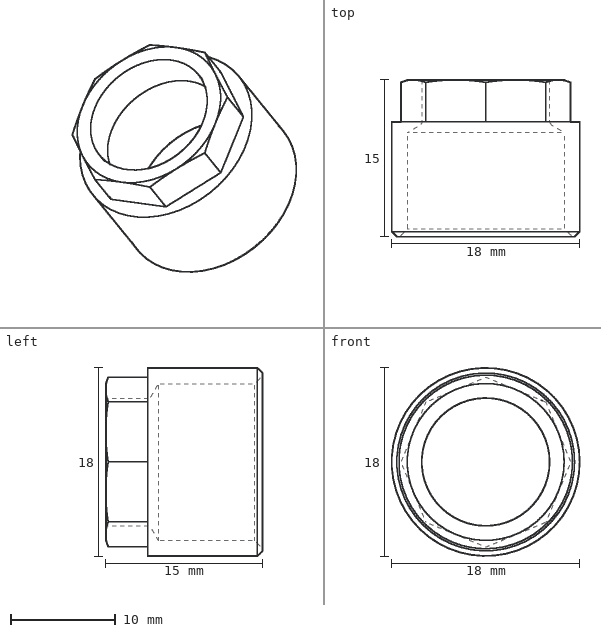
import cadquery as cq
import math


length = 15.0
body_diameter = 18.0
body_length = 11.0
rim_chamfer = 0.5
head_flats = 15.0
flat_count = 8
crown_angle = 20.0

mouth_radius = 8.3
bore_radius = 7.5
mouth_half_angle = 45.0
bore_depth = 10.0
seat_half_angle = 60.0
exit_radius = 6.1
exit_rounding = 0.5

front = -length / 2
back = length / 2
shoulder = front + body_length


def revolve_about_y(profile_points):
    """Solid of revolution from (radius, y) points."""
    profile = cq.Workplane("XY").polyline(profile_points).close()
    return profile.revolve(360, (0, 0, 0), (0, 1, 0))


def round_body():
    """Cylinder chamfered at the open end."""
    radius = body_diameter / 2
    return revolve_about_y([
        (0, front),
        (radius - rim_chamfer, front),
        (radius, front + rim_chamfer),
        (radius, shoulder),
        (0, shoulder),
    ])


def wrench_head():
    """Polygon with corners on the X and Z axes, turned down at its free end."""
    flat_radius = head_flats / 2
    corner_radius = flat_radius / math.cos(math.pi / flat_count)
    crown_depth = (corner_radius - flat_radius) * math.tan(math.radians(crown_angle))
    prism = (
        cq.Workplane("XZ", origin=(0, back, 0))
        .polygon(flat_count, 2 * corner_radius)
        .extrude(length - body_length)
    )
    crowned_blank = revolve_about_y([
        (0, shoulder),
        (corner_radius, shoulder),
        (corner_radius, back - crown_depth),
        (flat_radius, back),
        (0, back),
    ])
    return prism.intersect(crowned_blank)


def stepped_bore():
    """Through bore: chamfered mouth, wide cylinder, seat cone and rounded exit hole."""
    mouth_depth = (mouth_radius - bore_radius) / math.tan(math.radians(mouth_half_angle))
    seat_start = front + bore_depth
    seat_angle = math.radians(seat_half_angle)

    arc_radius = exit_radius + exit_rounding
    seat_end_radius = arc_radius - exit_rounding * math.cos(seat_angle)
    seat_end = seat_start + (bore_radius - seat_end_radius) / math.tan(seat_angle)
    arc_y = seat_end + exit_rounding * math.sin(seat_angle)
    mid_angle = seat_angle / 2
    arc_middle = (
        arc_radius - exit_rounding * math.cos(mid_angle),
        arc_y - exit_rounding * math.sin(mid_angle),
    )

    profile = (
        cq.Workplane("XY")
        .moveTo(0, front)
        .lineTo(mouth_radius, front)
        .lineTo(bore_radius, front + mouth_depth)
        .lineTo(bore_radius, seat_start)
        .lineTo(seat_end_radius, seat_end)
        .threePointArc(arc_middle, (exit_radius, arc_y))
        .lineTo(exit_radius, back)
        .lineTo(0, back)
        .close()
    )
    return profile.revolve(360, (0, 0, 0), (0, 1, 0))


result = round_body().union(wrench_head()).cut(stepped_bore())